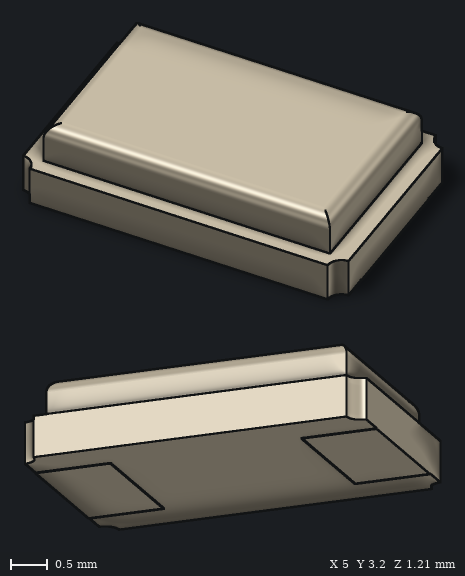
import cadquery as cq

base_length = 5.0
base_width = 3.2
base_height = 0.6
corner_notch_radius = 0.21

lid_length = 4.4
lid_width = 2.72
lid_height = 0.6
lid_edge_radius = 0.2

pad_length = 1.1
pad_width = 2.0
pad_thickness = 0.01


def make_base():
    """Rectangular base with a round notch down each corner."""
    base = cq.Workplane("XY").box(base_length, base_width, base_height, centered=(True, True, False))
    notches = (
        cq.Workplane("XY")
        .rect(base_length, base_width, forConstruction=True)
        .vertices()
        .circle(corner_notch_radius)
        .extrude(base_height)
    )
    base = base.cut(notches)
    return base.translate((0, 0, pad_thickness))


def make_lid():
    """Lid with sharp upright corners and rounded top edges."""
    lid = cq.Workplane("XY").box(lid_length, lid_width, lid_height, centered=(True, True, False))
    lid = lid.faces(">Z").edges().fillet(lid_edge_radius)
    return lid.translate((0, 0, pad_thickness + base_height))


def make_pads():
    """One pad flush with each end of the base."""
    pad_offset = (base_length - pad_length) / 2
    return (
        cq.Workplane("XY")
        .pushPoints([(-pad_offset, 0), (pad_offset, 0)])
        .rect(pad_length, pad_width)
        .extrude(pad_thickness)
    )


result = make_base().union(make_lid()).union(make_pads())